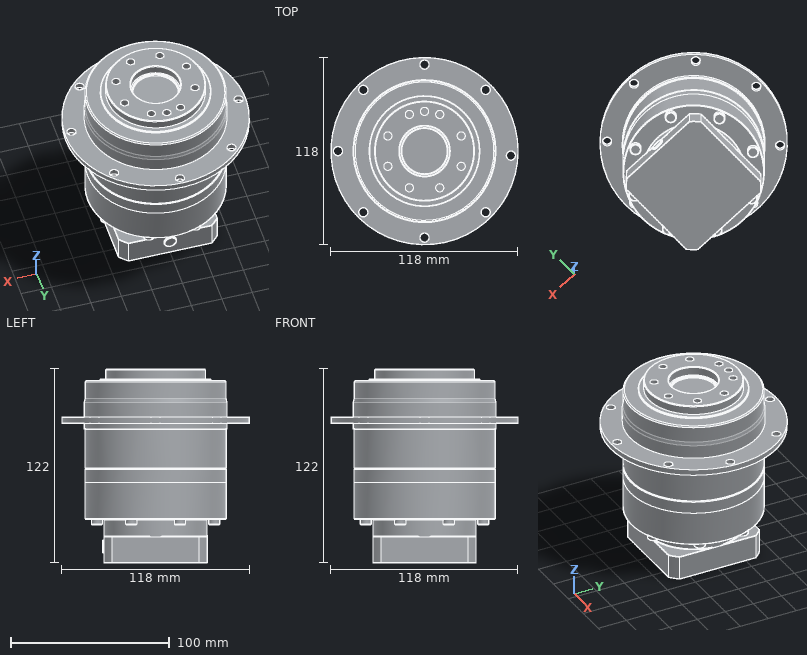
import cadquery as cq
import math

TOTAL_HEIGHT = 122.0
ADAPTER_SHOULDER_Z = 16.6
REAR_HOUSING_BOTTOM_Z = 27.5
RING_GEAR_BOTTOM_Z = 50.8
FRONT_HOUSING_BOTTOM_Z = 59.4
PILOT_BOTTOM_Z = 84.4
FLANGE_BOTTOM_Z = 87.9
FLANGE_THICKNESS = 4.0
PILOT_TOP_Z = 101.0
TAPER_TOP_Z = 103.5
FRONT_FACE_Z = 115.0
SEAL_RISE = 1.0

FLANGE_DIAMETER = 118.0
PILOT_DIAMETER = 90.0
BODY_DIAMETER = 89.1
NOSE_DIAMETER = 89.0
SEAL_DIAMETER = 69.8
OUTPUT_DIAMETER = 63.0

EDGE_CHAMFER = 0.5
SMALL_CHAMFER = 0.4
NOSE_CHAMFER = 0.9

FLANGE_HOLE_COUNT = 8
FLANGE_HOLE_DIAMETER = 5.6
FLANGE_HOLE_CIRCLE = 109.0
OFFSET_HOLE_ANGLE = -3.0

OUTPUT_DEPTH = 12.2
OUTPUT_HOLE_COUNT = 8
OUTPUT_HOLE_DIAMETER = 5.1
OUTPUT_HOLE_CIRCLE = 50.0
OUTPUT_HOLE_DEPTH = 7.3
BORE_DIAMETER = 31.5
BORE_DEPTH = 6.1
RECESS_DIAMETER = 29.5
RECESS_DEPTH = 7.3

SCREW_COUNT = 8
SCREW_HEAD_DIAMETER = 7.1
SCREW_HEAD_HEIGHT = 3.5
SCREW_CIRCLE = 80.0

ADAPTER_WIDTH = 65.0
ADAPTER_CORNER_DIAMETER = 84.9
ADAPTER_CHAMFER = 0.2
NECK_FILLET = 0.4
PLUG_DIAMETER = 8.2
PLUG_HEIGHT = 1.0
PLUG_Z = 10.4
PLUG_CHAMFER = 0.4


def disc(diameter, bottom, top):
    """Upright cylinder on the Z axis between two heights."""
    return cq.Workplane("XY").workplane(offset=bottom).circle(diameter / 2).extrude(top - bottom)


def circle_points(diameter, angles):
    """Points on a circle about the Z axis at the given angles in degrees."""
    radius = diameter / 2
    return [
        (radius * math.cos(math.radians(angle)), radius * math.sin(math.radians(angle)))
        for angle in angles
    ]


def even_angles(count, start):
    """Evenly spaced angles in degrees."""
    return [start + index * 360 / count for index in range(count)]


def make_output_flange():
    bottom = TOTAL_HEIGHT - OUTPUT_DEPTH
    flange = disc(OUTPUT_DIAMETER, bottom, TOTAL_HEIGHT).faces(">Z").chamfer(EDGE_CHAMFER)

    recess = disc(RECESS_DIAMETER, TOTAL_HEIGHT - RECESS_DEPTH, TOTAL_HEIGHT)
    recess = recess.faces("<Z").chamfer(EDGE_CHAMFER)
    bore = disc(BORE_DIAMETER, TOTAL_HEIGHT - BORE_DEPTH, TOTAL_HEIGHT)
    flange = flange.cut(recess).cut(bore)
    rim = cq.selectors.RadiusNthSelector(0)
    flange = flange.faces(">Z").edges(rim).chamfer(EDGE_CHAMFER)

    spacing = 360 / OUTPUT_HOLE_COUNT
    angles = even_angles(OUTPUT_HOLE_COUNT, spacing / 2) + [90]
    holes = (
        cq.Workplane("XY")
        .workplane(offset=TOTAL_HEIGHT - OUTPUT_HOLE_DEPTH)
        .pushPoints(circle_points(OUTPUT_HOLE_CIRCLE, angles))
        .circle(OUTPUT_HOLE_DIAMETER / 2)
        .extrude(OUTPUT_HOLE_DEPTH)
    )
    return flange.cut(holes)


def make_front_housing():
    body_radius = BODY_DIAMETER / 2
    pilot_radius = PILOT_DIAMETER / 2
    flange_radius = FLANGE_DIAMETER / 2
    nose_radius = NOSE_DIAMETER / 2
    seal_radius = SEAL_DIAMETER / 2
    flange_top = FLANGE_BOTTOM_Z + FLANGE_THICKNESS
    seal_top = FRONT_FACE_Z + SEAL_RISE

    housing = (
        cq.Workplane("XZ")
        .moveTo(0, FRONT_HOUSING_BOTTOM_Z)
        .lineTo(body_radius - EDGE_CHAMFER, FRONT_HOUSING_BOTTOM_Z)
        .lineTo(body_radius, FRONT_HOUSING_BOTTOM_Z + EDGE_CHAMFER)
        .lineTo(body_radius, PILOT_BOTTOM_Z - EDGE_CHAMFER)
        .lineTo(body_radius - EDGE_CHAMFER, PILOT_BOTTOM_Z)
        .lineTo(pilot_radius, PILOT_BOTTOM_Z)
        .lineTo(pilot_radius, FLANGE_BOTTOM_Z)
        .lineTo(flange_radius, FLANGE_BOTTOM_Z)
        .lineTo(flange_radius, flange_top)
        .lineTo(pilot_radius, flange_top)
        .lineTo(pilot_radius, PILOT_TOP_Z)
        .lineTo(nose_radius, TAPER_TOP_Z)
        .lineTo(nose_radius, FRONT_FACE_Z - NOSE_CHAMFER)
        .lineTo(nose_radius - NOSE_CHAMFER, FRONT_FACE_Z)
        .lineTo(seal_radius, FRONT_FACE_Z)
        .lineTo(seal_radius, seal_top - SMALL_CHAMFER)
        .lineTo(seal_radius - SMALL_CHAMFER, seal_top)
        .lineTo(0, seal_top)
        .close()
        .revolve(360, (0, 0), (0, 1))
    )

    housing = housing.cut(disc(OUTPUT_DIAMETER, TOTAL_HEIGHT - OUTPUT_DEPTH, seal_top))

    angles = even_angles(FLANGE_HOLE_COUNT, 0)
    angles[0] = OFFSET_HOLE_ANGLE
    holes = (
        cq.Workplane("XY")
        .workplane(offset=FLANGE_BOTTOM_Z)
        .pushPoints(circle_points(FLANGE_HOLE_CIRCLE, angles))
        .circle(FLANGE_HOLE_DIAMETER / 2)
        .extrude(FLANGE_THICKNESS)
    )
    return housing.cut(holes)


def make_ring_gear():
    ring = disc(BODY_DIAMETER, RING_GEAR_BOTTOM_Z, FRONT_HOUSING_BOTTOM_Z)
    return ring.faces(">Z").chamfer(EDGE_CHAMFER)


def make_rear_housing():
    housing = disc(BODY_DIAMETER, REAR_HOUSING_BOTTOM_Z, RING_GEAR_BOTTOM_Z)
    housing = housing.faces("<Z").chamfer(EDGE_CHAMFER)

    angles = even_angles(SCREW_COUNT, 180 / SCREW_COUNT)
    heads = (
        cq.Workplane("XY")
        .workplane(offset=REAR_HOUSING_BOTTOM_Z - SCREW_HEAD_HEIGHT)
        .pushPoints(circle_points(SCREW_CIRCLE, angles))
        .circle(SCREW_HEAD_DIAMETER / 2)
        .extrude(SCREW_HEAD_HEIGHT)
        .faces("<Z")
        .chamfer(EDGE_CHAMFER)
    )
    return housing.union(heads)


def make_motor_adapter():
    square = cq.Workplane("XY").rect(ADAPTER_WIDTH, ADAPTER_WIDTH).extrude(ADAPTER_SHOULDER_Z)
    square = square.intersect(disc(ADAPTER_CORNER_DIAMETER, 0, ADAPTER_SHOULDER_Z))
    square = square.faces("<Z or >Z").chamfer(ADAPTER_CHAMFER)

    neck = disc(ADAPTER_WIDTH, ADAPTER_CHAMFER, REAR_HOUSING_BOTTOM_Z)
    neck = neck.faces(">Z").chamfer(SMALL_CHAMFER)

    neck_radius = ADAPTER_WIDTH / 2
    cove_inset = NECK_FILLET * (1 - math.sqrt(0.5))
    cove = (
        cq.Workplane("XZ")
        .moveTo(0, ADAPTER_SHOULDER_Z)
        .lineTo(neck_radius + NECK_FILLET, ADAPTER_SHOULDER_Z)
        .threePointArc(
            (neck_radius + cove_inset, ADAPTER_SHOULDER_Z + cove_inset),
            (neck_radius, ADAPTER_SHOULDER_Z + NECK_FILLET),
        )
        .lineTo(0, ADAPTER_SHOULDER_Z + NECK_FILLET)
        .close()
        .revolve(360, (0, 0), (0, 1))
    )
    flat_width = ADAPTER_WIDTH - 2 * ADAPTER_CHAMFER
    flat_top = cq.Workplane("XY").rect(flat_width, flat_width).extrude(TOTAL_HEIGHT)
    cove = cove.intersect(flat_top)

    plug = (
        cq.Workplane("XZ", origin=(0, ADAPTER_WIDTH / 2, PLUG_Z))
        .circle(PLUG_DIAMETER / 2)
        .extrude(-PLUG_HEIGHT)
        .faces(">Y")
        .chamfer(PLUG_CHAMFER)
    )
    return square.union(neck).union(cove).union(plug)


output_flange = make_output_flange()
front_housing = make_front_housing()
ring_gear = make_ring_gear()
rear_housing = make_rear_housing()
motor_adapter = make_motor_adapter()

result = cq.Compound.makeCompound([
    output_flange.val(),
    front_housing.val(),
    ring_gear.val(),
    rear_housing.val(),
    motor_adapter.val(),
])